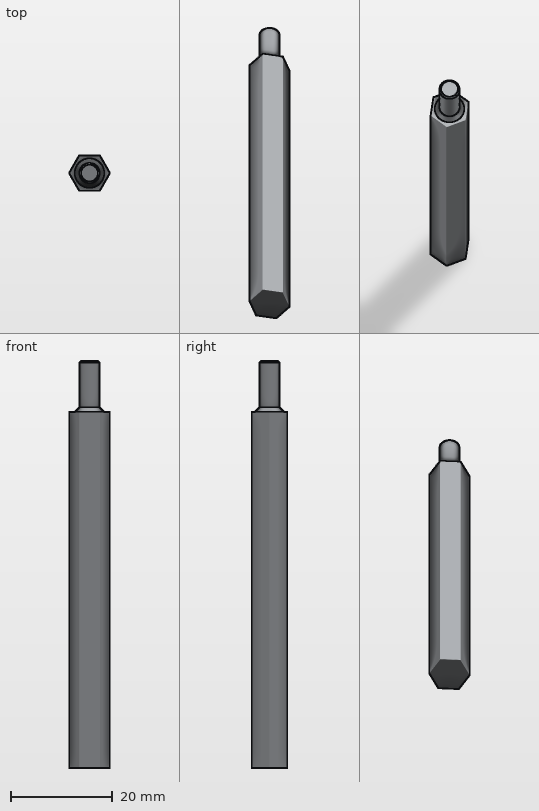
import cadquery as cq
import math

overall_length = 80.0
stud_length = 10.0
body_length = overall_length - stud_length

across_flats = 7.0
across_corners = across_flats / math.cos(math.pi / 6)
edge_radius = 0.1

stud_radius = 2.0
tip_chamfer = 0.35
tip_radius = stud_radius - tip_chamfer

collar_height = 0.9
collar_radius = stud_radius + collar_height


def hexagonal_body():
    """Hexagonal prism with two corners on the X axis and all edges lightly rounded."""
    prism = cq.Workplane("XY").polygon(6, across_corners).extrude(body_length)
    return prism.edges().fillet(edge_radius)


def stud():
    """Round stud with a chamfered tip and a conical collar at its root."""
    half_profile = (
        cq.Workplane("XZ")
        .moveTo(0, body_length)
        .lineTo(collar_radius, body_length)
        .lineTo(stud_radius, body_length + collar_height)
        .lineTo(stud_radius, overall_length - tip_chamfer)
        .lineTo(tip_radius, overall_length)
        .lineTo(0, overall_length)
        .close()
    )
    return half_profile.revolve(360, (0, 0, 0), (0, 1, 0))


result = hexagonal_body().union(stud())